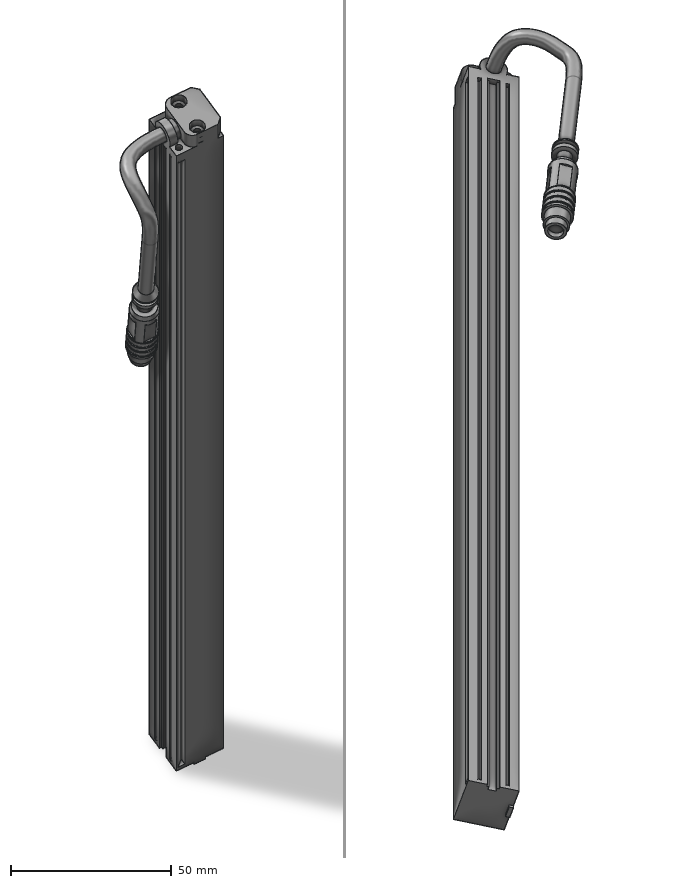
import cadquery as cq
import math

WIDTH = 16.5
DEPTH = 17.2
HEIGHT = 334.56
OVERLAP = 1.0
HALF_WIDTH = WIDTH / 2
HALF_DEPTH = DEPTH / 2
FRONT = -HALF_DEPTH

TAB_DROP = 1.0
TAB_WIDTH = 1.4
TAB_LENGTH = 4.2

FOOT_SOLID = 1.6
HEAD_SOLID = 10.4
GROOVE_OFFSET = 4.6
GROOVE_WIDTH = 1.1
GROOVE_DEPTH = 1.5
CHANNEL_WIDTH = 4.0
CHANNEL_SHELF_DEPTH = 0.8
CHANNEL_FLOOR_WIDTH = 2.6
CHANNEL_FLOOR_DEPTH = 2.0
CHANNEL_HEAD_SOLID = 9.8
SIDE_NOTCH_BACK = 3.1
SIDE_NOTCH_LIP = 0.6
SIDE_NOTCH_DEPTH = 2.2

HEAD_CHAMFER = 2.0
HEAD_CHAMFER_HEIGHT = 7.5
SCREW_OFFSET_X = 5.6
SCREW_Y = 0.6
SCREW_POCKET_DIAMETER = 5.0
SCREW_POCKET_DEPTH = 5.5
SCREW_HEAD_DIAMETER = 4.7
SCREW_HEAD_HEIGHT = 2.6
SCREW_SOCKET_DIAMETER = 2.5
SCREW_SOCKET_DEPTH = 1.5
STEP_LENGTH = 4.6
STEP_HEIGHT = 6.2
STEP_CORNER_RADIUS = 3.0
STEP_HOLE_DIAMETER = 2.22
STEP_HOLE_DEPTH = 3.0
STEP_HOLE_X = 5.8
STEP_HOLE_Y = -6.2
GLAND_DIAMETER = 9.0
GLAND_NECK_DIAMETER = 6.9
GLAND_NECK_LENGTH = 1.8

CABLE_DIAMETER = 5.0
CABLE_SOCKET_DEPTH = 2.0
CABLE_Z = HEIGHT - GLAND_DIAMETER / 2
CABLE_Y = -25.8
CABLE_WAYPOINTS = (
    (0.3, -16.0, 0.0),
    (3.0, -22.8, 0.2),
    (13.0, CABLE_Y, 2.5),
    (16.7, CABLE_Y, 4.7),
)
CABLE_BEND_END_X = 21.02
CABLE_BEND_DROP = 18.2
PLUG_TILT = 4.7
BOOT_START = 29.5
BOOT_LENGTH = 2.0
BOOT_LIP = 0.6
BOOT_DIAMETER = 8.3
RING_START = 33.6
RING_LENGTH = 1.6
GRIP_START = 40.0
GRIP_LENGTH = 14.6
GRIP_TAPER_LENGTH = 1.6
GRIP_DIAMETER = 9.5
NUT_LENGTH = 9.0
NUT_DIAMETER = 10.0
NUT_GROOVE_OFFSETS = (2.4, 5.0, 7.6)
NUT_GROOVE_WIDTH = 0.8
NUT_GROOVE_DIAMETER = 9.2
SLEEVE_LENGTH = 4.2
SLEEVE_DIAMETER = 8.3
NOSE_LENGTH = 2.7
NOSE_DIAMETER = 6.9
NOSE_BORE_DIAMETER = 5.0
NOSE_BORE_DEPTH = 2.0
WINDOW_START = 4.0
WINDOW_LENGTH = 10.0
WINDOW_WIDTH = 4.2
WINDOW_DEPTH = 0.6
WINDOW_COUNT = 4


def box(x_size, y_size, z_size, x, y, z_bottom):
    return cq.Workplane("XY").box(x_size, y_size, z_size, (True, True, False)).translate((x, y, z_bottom))


def upright_cylinder(diameter, length, x, y, z_bottom):
    return cq.Workplane("XY").circle(diameter / 2).extrude(length).translate((x, y, z_bottom))


def cylinder_toward_front(diameter, length, y_back):
    """Cylinder on the cable entry axis, running from y_back toward -Y."""
    return cq.Workplane("XZ", origin=(0, y_back, CABLE_Z)).circle(diameter / 2).extrude(length)


def side_notch(side):
    """Undercut groove along one side wall, with a flat ledge behind and a sloping lip in front."""
    wall = side * HALF_WIDTH
    floor = side * (HALF_WIDTH - SIDE_NOTCH_DEPTH)
    ledge_y = FRONT + SIDE_NOTCH_BACK
    outline = [(wall, ledge_y), (floor, ledge_y), (wall, FRONT + SIDE_NOTCH_LIP)]
    length = HEIGHT - HEAD_SOLID - FOOT_SOLID
    return cq.Workplane("XY", origin=(0, 0, FOOT_SOLID)).polyline(outline).close().extrude(length)


def grooved_bar():
    bar = box(WIDTH, DEPTH, HEIGHT, 0, 0, 0)
    tab_x = HALF_WIDTH - TAB_WIDTH / 2
    bar = bar.union(box(TAB_WIDTH, TAB_LENGTH, TAB_DROP + OVERLAP, tab_x, 0, -TAB_DROP))
    groove_length = HEIGHT - HEAD_SOLID - FOOT_SOLID
    groove_y = FRONT + GROOVE_DEPTH / 2
    for side in (-1, 1):
        groove_x = side * GROOVE_OFFSET
        bar = bar.cut(box(GROOVE_WIDTH, GROOVE_DEPTH, groove_length, groove_x, groove_y, FOOT_SOLID))
        bar = bar.cut(side_notch(side))
    for width, depth in (
        (CHANNEL_WIDTH, CHANNEL_SHELF_DEPTH),
        (CHANNEL_FLOOR_WIDTH, CHANNEL_FLOOR_DEPTH),
    ):
        bar = bar.cut(box(width, depth, HEIGHT - CHANNEL_HEAD_SOLID, 0, FRONT + depth / 2, 0))
    return bar


def head_corner(side):
    """Triangular prism that bevels one rear vertical edge of the head."""
    x = side * HALF_WIDTH
    outline = [(x, HALF_DEPTH), (x - side * HEAD_CHAMFER, HALF_DEPTH), (x, HALF_DEPTH - HEAD_CHAMFER)]
    start = (0, 0, HEIGHT - HEAD_CHAMFER_HEIGHT)
    return cq.Workplane("XY", origin=start).polyline(outline).close().extrude(HEAD_CHAMFER_HEIGHT)


def recessed_screw(housing, side):
    """Sink a round pocket into the head and leave a socketed screw head standing in it."""
    x = side * SCREW_OFFSET_X
    floor_z = HEIGHT - SCREW_POCKET_DEPTH
    socket_z = floor_z + SCREW_HEAD_HEIGHT - SCREW_SOCKET_DEPTH
    pocket = upright_cylinder(SCREW_POCKET_DIAMETER, SCREW_POCKET_DEPTH, x, SCREW_Y, floor_z)
    head = upright_cylinder(SCREW_HEAD_DIAMETER, SCREW_HEAD_HEIGHT + OVERLAP, x, SCREW_Y, floor_z - OVERLAP)
    socket = upright_cylinder(SCREW_SOCKET_DIAMETER, SCREW_SOCKET_DEPTH, x, SCREW_Y, socket_z)
    return housing.cut(pocket).union(head.cut(socket))


def front_step():
    """Material removed in front of the head, leaving rounded corners on what stands behind it."""
    removed_length = STEP_LENGTH + STEP_CORNER_RADIUS
    removed = box(WIDTH, removed_length, STEP_HEIGHT, 0, FRONT + removed_length / 2, HEIGHT - STEP_HEIGHT)
    kept = box(WIDTH, DEPTH - STEP_LENGTH, STEP_HEIGHT, 0, STEP_LENGTH / 2, HEIGHT - STEP_HEIGHT)
    kept = kept.edges("|Z and <Y").fillet(STEP_CORNER_RADIUS)
    return removed.cut(kept)


def gland():
    """Cable entry on the step: a narrow neck against the head, then a wide flange up to the front face."""
    flange_length = STEP_LENGTH - GLAND_NECK_LENGTH
    flange = cylinder_toward_front(GLAND_DIAMETER, flange_length, FRONT + flange_length)
    neck_length = STEP_LENGTH + OVERLAP
    neck = cylinder_toward_front(GLAND_NECK_DIAMETER, neck_length, FRONT + neck_length)
    return neck.union(flange)


def step_hole():
    """Blind hole in the floor of the step, on the +X side of the gland."""
    floor_z = HEIGHT - STEP_HEIGHT - STEP_HOLE_DEPTH
    return upright_cylinder(STEP_HOLE_DIAMETER, STEP_HOLE_DEPTH, STEP_HOLE_X, STEP_HOLE_Y, floor_z)


def make_housing():
    housing = grooved_bar()
    for side in (-1, 1):
        housing = housing.cut(head_corner(side))
        housing = recessed_screw(housing, side)
    housing = housing.cut(front_step())
    housing = housing.union(gland())
    housing = housing.cut(step_hole())
    return housing.cut(cylinder_toward_front(CABLE_DIAMETER, CABLE_SOCKET_DEPTH, FRONT + CABLE_SOCKET_DEPTH))


bend_end = cq.Vector(CABLE_BEND_END_X, CABLE_Y, CABLE_Z - CABLE_BEND_DROP)
tilt = math.radians(PLUG_TILT)
hang_direction = cq.Vector(-math.sin(tilt), 0, -math.cos(tilt))
hang_plane = cq.Plane(origin=bend_end, xDir=(0, 1, 0), normal=hang_direction)


def hanging_disc(diameter, start, length, end_diameter=None):
    """Round section of the plug between two distances along the hanging axis."""
    section = cq.Workplane(hang_plane).workplane(offset=start).circle(diameter / 2)
    if end_diameter is None:
        return section.extrude(length)
    return section.workplane(offset=length).circle(end_diameter / 2).loft(ruled=True)


def bent_cable():
    entry = cq.Vector(0, FRONT + CABLE_SOCKET_DEPTH, CABLE_Z)
    waypoints = [
        entry,
        *(cq.Vector(x, y, CABLE_Z - drop) for x, y, drop in CABLE_WAYPOINTS),
        bend_end,
    ]
    path = cq.Workplane("XY").spline(waypoints, tangents=[cq.Vector(0, -1, 0), hang_direction])
    return cq.Workplane("XZ", origin=entry.toTuple()).circle(CABLE_DIAMETER / 2).sweep(path)


def grip():
    barrel_start = GRIP_START + GRIP_TAPER_LENGTH
    body = hanging_disc(BOOT_DIAMETER, GRIP_START, GRIP_TAPER_LENGTH, GRIP_DIAMETER)
    body = body.union(hanging_disc(GRIP_DIAMETER, barrel_start, GRIP_LENGTH - GRIP_TAPER_LENGTH))
    for turn in range(WINDOW_COUNT):
        window = (
            cq.Workplane(hang_plane)
            .workplane(offset=GRIP_START + WINDOW_START)
            .transformed(rotate=(0, 0, 360 / WINDOW_COUNT * turn))
            .center(GRIP_DIAMETER / 2, 0)
            .rect(2 * WINDOW_DEPTH, WINDOW_WIDTH)
            .extrude(WINDOW_LENGTH)
        )
        body = body.cut(window)
    return body


def nut(start):
    body = hanging_disc(NUT_DIAMETER, start, NUT_LENGTH)
    for offset in NUT_GROOVE_OFFSETS:
        groove_start = start + offset - NUT_GROOVE_WIDTH / 2
        groove = hanging_disc(NUT_DIAMETER + OVERLAP, groove_start, NUT_GROOVE_WIDTH)
        body = body.cut(groove.cut(hanging_disc(NUT_GROOVE_DIAMETER, groove_start, NUT_GROOVE_WIDTH)))
    return body


def make_cable():
    nut_start = GRIP_START + GRIP_LENGTH
    sleeve_start = nut_start + NUT_LENGTH
    nose_start = sleeve_start + SLEEVE_LENGTH
    cable = bent_cable()
    for section in (
        hanging_disc(CABLE_DIAMETER, 0, GRIP_START + OVERLAP),
        hanging_disc(CABLE_DIAMETER, BOOT_START, BOOT_LENGTH, BOOT_DIAMETER),
        hanging_disc(BOOT_DIAMETER, BOOT_START + BOOT_LENGTH, BOOT_LIP),
        hanging_disc(BOOT_DIAMETER, RING_START, RING_LENGTH),
        grip(),
        nut(nut_start),
        hanging_disc(SLEEVE_DIAMETER, sleeve_start, SLEEVE_LENGTH),
        hanging_disc(NOSE_DIAMETER, nose_start, NOSE_LENGTH),
    ):
        cable = cable.union(section)
    bore_start = nose_start + NOSE_LENGTH - NOSE_BORE_DEPTH
    return cable.cut(hanging_disc(NOSE_BORE_DIAMETER, bore_start, NOSE_BORE_DEPTH))


housing = make_housing()
cable = make_cable()
result = cq.Compound.makeCompound([housing.val(), cable.val()])